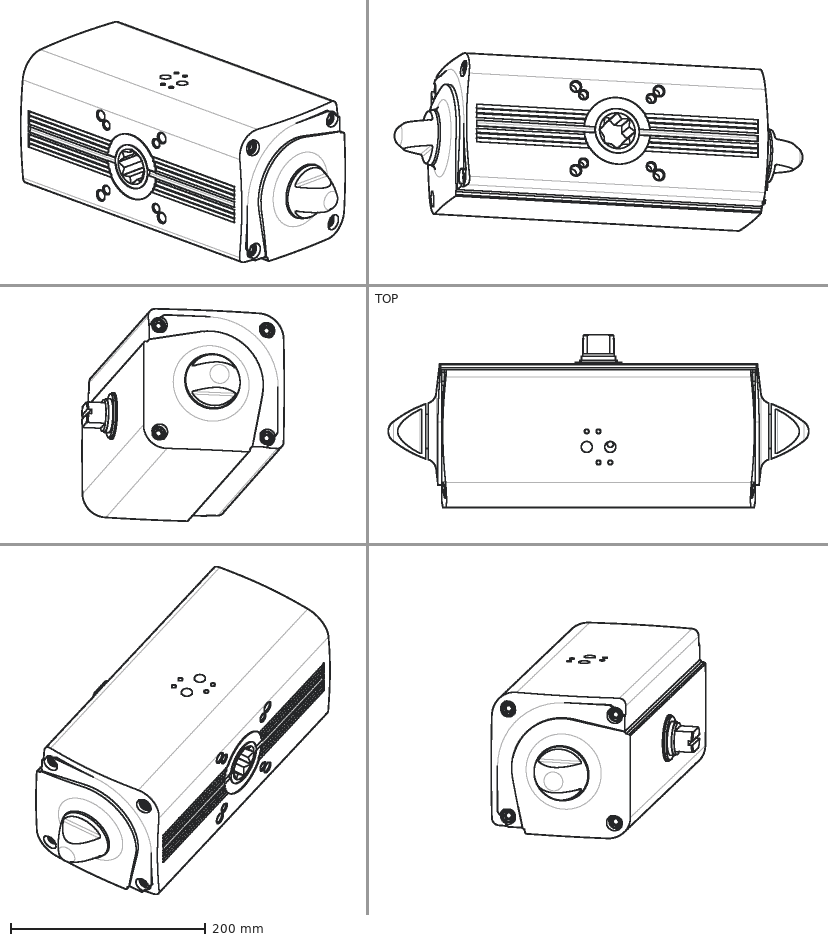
import cadquery as cq
import math

TOTAL_LENGTH = 433.0
SHAFT_TIP_Y = 99.5

FAR_SIDE = 78.5
NEAR_SIDE = 63.5
LOBE_SIDE = 69.5
BIG_CORNER_RADIUS = 26.0
SMALL_CORNER_RADIUS = 7.5
LOBE_CORNER_RADIUS = 24.2
LOBE_STEP_TOP = 44.5
LOBE_STEP_FOOT = (65.5, 42.5)
LOBE_STEP_CORNER = (68.5, 42.0)
LOBE_FACE_TOP = 40.5

CAP_FLAT_X = 161.5
CAP_FLAT_RADIUS = 71.5
CAP_SLOPE = 0.18
LOBE_CAP_X = 167.0
LOBE_CAP_RADIUS = 55.5
LOBE_CAP_SLOPE = 0.12
ENVELOPE_RADIUS = 130.0
PLATE_SHOULDER = 47.5
PLATE_EDGE = 60.0

DOME_RADIUS = 40.0
DOME_FILLET_MIDDLE = (169.7, 33.0)
DOME_TIP_X = 175.5
DOME_TIP_RADIUS = 29.0
NECK_RADIUS = 17.8
NOSE_BASE_X = 177.5
NOSE_BASE_RADIUS = 28.5
NOSE_MIDDLE = (195.0, 21.0)
NOSE_CAP_X = 211.5
NOSE_CAP_RADIUS = 10.0
NOSE_FLAT_X = 182.0
NOSE_FLAT_HALF = 13.5
NOSE_FLAT_FILLET = 2.0

SCREW_SPACING = 113.5
SCREW_OFFSET = 4.0
SCREW_BORE_DIAMETER = 16.0
SCREW_BORE_FLOOR_X = 153.3
SCREW_HEAD_DIAMETER = 14.0
SCREW_HEAD_HEIGHT = 4.8
SCREW_HEAD_CHAMFER = 1.5
SOCKET_DIAMETER = 8.2
SOCKET_DEPTH = 2.0
SOCKET_POINT_DIAMETER = 6.0
SOCKET_POINT_DEPTH = 1.7

GROOVE_END_X = 149.5
GROOVE_WIDTH = 4.1
GROOVE_HEIGHTS = (8.0, 13.0, 17.8)
CENTRE_SLOT_WIDTH = 6.0
CENTRE_SLOT_DEPTH = 3.5
CENTRE_SLOT_FILLET = 1.7

PILOT_DIAMETER = 70.0
PILOT_RECESS = 1.0
SHAFT_END_DIAMETER = 46.8
DRIVE_SQUARE = 27.0
DRIVE_DIAMETER = 37.5
DRIVE_DEPTH = 34.5
DRIVE_CHAMFER = 4.5

FLANGE_HOLES = ((36.0, 8.2, 10.5, 15.0), (44.0, 10.0, 12.0, 17.5))

PORT_CENTRE_Y = -16.0
PORT_HALF_SPACING = 12.0
PORT_DIAMETER = 11.3
PORT_DEPTH = 13.0
PASSAGE_DIAMETER = 6.0
PASSAGE_SHIFT_Y = 2.5
PASSAGE_DEPTH = 13.0
PORT_SCREW_HALF_SPACING_Y = 16.0
PORT_SCREW_DRILL = 4.1
PORT_SCREW_MOUTH = 4.8
PORT_SCREW_DEPTH = 8.5

THRUST_PLATE = (48.0, 71.0)
CLIP = (45.0, 73.0)
CLIP_WIDTH = 39.0
COLLAR = (35.0, 77.5)
STEM_BASE = (33.0, 80.0)
STEM_DIAMETER = 32.0
STEM_WIDTH = 21.5
STEM_CHAMFER = 1.5
TIP_SLOT_WIDTH = 4.5
TIP_SLOT_DEPTH = 4.5

DRILL_POINT_ANGLE = math.radians(59)


def reflect(point):
    """Mirror a (y, z) point across the symmetry line of the section."""
    y, z = point
    return (-z, -y)


def along_x(sketch_wire, half_length):
    """Extrude a closed section in the YZ plane equally to both sides."""
    return sketch_wire.extrude(half_length, both=True)


def drill(diameter, depth, mouth_diameter):
    """Drill-shaped tool down -Z from the origin, with a cone point and a chamfered mouth."""
    radius = diameter / 2
    mouth = mouth_diameter / 2
    point_depth = radius / math.tan(DRILL_POINT_ANGLE)
    profile = [
        (0, 0),
        (mouth, 0),
        (radius, radius - mouth),
        (radius, -depth),
        (0, -depth - point_depth),
    ]
    return cq.Workplane("XZ").polyline(profile).close().revolve(360, (0, 0, 0), (0, 1, 0))


def cap_envelope(flat_radius, flat_x, slope):
    """Round body with coned ends, used to shape the end faces of a section."""
    rim_x = flat_x - slope * (ENVELOPE_RADIUS - flat_radius)
    profile = [
        (-flat_x, 0),
        (-flat_x, flat_radius),
        (-rim_x, ENVELOPE_RADIUS),
        (rim_x, ENVELOPE_RADIUS),
        (flat_x, flat_radius),
        (flat_x, 0),
    ]
    return cq.Workplane("XY").polyline(profile).close().revolve(360, (0, 0, 0), (1, 0, 0))


def main_block():
    size = FAR_SIDE + NEAR_SIDE
    centre = (NEAR_SIDE - FAR_SIDE) / 2
    block = cq.Workplane("XY").box(2 * CAP_FLAT_X, size, size).translate((0, centre, -centre))
    block = block.edges("|X and <Y and >Z").fillet(BIG_CORNER_RADIUS)
    block = block.edges("|X and >Y and >Z").fillet(SMALL_CORNER_RADIUS)
    block = block.edges("|X and <Y and <Z").fillet(SMALL_CORNER_RADIUS)
    return block.edges("|X and >Y and <Z").fillet(LOBE_CORNER_RADIUS)


def lobe():
    """Raised lobe around the axis: an arc towards the front and top, run out by tangents."""
    step_start = (NEAR_SIDE, LOBE_STEP_TOP)
    step_distance = math.hypot(*step_start)
    step_angle = math.atan2(LOBE_STEP_TOP, NEAR_SIDE)
    tangent_angle = step_angle + math.acos(LOBE_CAP_RADIUS / step_distance)
    tangent = (LOBE_CAP_RADIUS * math.cos(tangent_angle), LOBE_CAP_RADIUS * math.sin(tangent_angle))
    arc_middle = (-LOBE_CAP_RADIUS * math.sqrt(0.5), LOBE_CAP_RADIUS * math.sqrt(0.5))
    face_top = (LOBE_SIDE, LOBE_FACE_TOP)
    section = (
        cq.Workplane("YZ")
        .moveTo(*tangent)
        .threePointArc(arc_middle, reflect(tangent))
        .lineTo(*reflect(step_start))
        .lineTo(*reflect(LOBE_STEP_FOOT))
        .lineTo(*reflect(LOBE_STEP_CORNER))
        .lineTo(*reflect(face_top))
        .lineTo(LOBE_SIDE, -LOBE_SIDE)
        .lineTo(*face_top)
        .lineTo(*LOBE_STEP_CORNER)
        .lineTo(*LOBE_STEP_FOOT)
        .lineTo(*step_start)
        .close()
    )
    solid = along_x(section, TOTAL_LENGTH / 2)
    solid = solid.edges("|X and >Y and <Z").fillet(LOBE_CORNER_RADIUS)
    return solid.intersect(cap_envelope(DOME_RADIUS, LOBE_CAP_X, LOBE_CAP_SLOPE))


def cap_plate():
    """Flat zone of the end caps, which runs on past the coned face to the upper and front screws."""
    top_start = (0, CAP_FLAT_RADIUS)
    shoulder = (PLATE_SHOULDER, CAP_FLAT_RADIUS)
    edge = (NEAR_SIDE, PLATE_EDGE)
    arc_middle = (-CAP_FLAT_RADIUS * math.sqrt(0.5), CAP_FLAT_RADIUS * math.sqrt(0.5))
    section = (
        cq.Workplane("YZ")
        .moveTo(*top_start)
        .threePointArc(arc_middle, reflect(top_start))
        .lineTo(*reflect(shoulder))
        .lineTo(*reflect(edge))
        .lineTo(0, -NEAR_SIDE)
        .lineTo(0, 0)
        .lineTo(NEAR_SIDE, 0)
        .lineTo(*edge)
        .lineTo(*shoulder)
        .close()
    )
    return along_x(section, CAP_FLAT_X)


def nose():
    """Dome, neck and flattened nose on the +X end."""
    tip = TOTAL_LENGTH / 2
    cap_sag = tip - NOSE_CAP_X
    cap_sphere = (NOSE_CAP_RADIUS ** 2 + cap_sag ** 2) / (2 * cap_sag)
    half_angle = math.asin(NOSE_CAP_RADIUS / cap_sphere) / 2
    cap_middle = (
        tip - cap_sphere * (1 - math.cos(half_angle)),
        cap_sphere * math.sin(half_angle),
    )
    solid = (
        cq.Workplane("XY")
        .moveTo(CAP_FLAT_X, 0)
        .lineTo(CAP_FLAT_X, DOME_RADIUS)
        .lineTo(LOBE_CAP_X, DOME_RADIUS)
        .threePointArc(DOME_FILLET_MIDDLE, (DOME_TIP_X, DOME_TIP_RADIUS))
        .lineTo(DOME_TIP_X, NECK_RADIUS)
        .lineTo(NOSE_BASE_X, NECK_RADIUS)
        .lineTo(NOSE_BASE_X, NOSE_BASE_RADIUS)
        .threePointArc(NOSE_MIDDLE, (NOSE_CAP_X, NOSE_CAP_RADIUS))
        .threePointArc(cap_middle, (tip, 0))
        .close()
        .revolve(360, (0, 0, 0), (1, 0, 0))
    )
    cutter_size = 2 * NOSE_BASE_RADIUS
    cutter = (
        cq.Workplane("XY")
        .box(cutter_size, cutter_size, cutter_size, centered=(False, True, False))
        .edges("<X and <Z")
        .fillet(NOSE_FLAT_FILLET)
        .translate((NOSE_FLAT_X, 0, NOSE_FLAT_HALF))
    )
    return solid.cut(cutter).cut(cutter.mirror("XY"))


def socket_screw():
    """Chamfered screw head seated at the origin, with a hexagon socket that ends in a cone."""
    head = cq.Workplane("YZ").circle(SCREW_HEAD_DIAMETER / 2).extrude(SCREW_HEAD_HEIGHT)
    head = head.faces(">X").chamfer(SCREW_HEAD_CHAMFER)
    socket_floor_x = SCREW_HEAD_HEIGHT - SOCKET_DEPTH
    floor = cq.Workplane("YZ", origin=(socket_floor_x, 0, 0))
    socket = floor.polygon(6, SOCKET_DIAMETER).extrude(SOCKET_DEPTH)
    point = cq.Solid.makeCone(
        SOCKET_POINT_DIAMETER / 2,
        0,
        SOCKET_POINT_DEPTH,
        cq.Vector(socket_floor_x, 0, 0),
        cq.Vector(-1, 0, 0),
    )
    return head.cut(socket).cut(cq.Workplane(point))


def cap_screws():
    """Bores of the +X cap screws, and the screws that sit in them."""
    bore_length = TOTAL_LENGTH / 2 - SCREW_BORE_FLOOR_X
    bore = cq.Workplane("YZ").circle(SCREW_BORE_DIAMETER / 2).extrude(bore_length)
    screw = socket_screw()
    sides = (-SCREW_SPACING / 2, SCREW_SPACING / 2)
    places = [
        (SCREW_BORE_FLOOR_X, dy - SCREW_OFFSET, dz + SCREW_OFFSET)
        for dy in sides
        for dz in sides
    ]
    bores = [bore.translate(place) for place in places]
    screws = [screw.translate(place) for place in places]
    return bores, screws


def housing():
    block = main_block().intersect(cap_envelope(CAP_FLAT_RADIUS, CAP_FLAT_X, CAP_SLOPE))
    solid = block.union(cap_plate()).union(lobe())
    end = nose()
    solid = solid.union(end).union(end.mirror("YZ"))
    bores, screws = cap_screws()
    for bore in bores:
        solid = solid.cut(bore).cut(bore.mirror("YZ"))
    for screw in screws:
        solid = solid.union(screw).union(screw.mirror("YZ"))
    return solid


def front_disc(diameter, depth):
    return cq.Workplane("XZ", origin=(0, -FAR_SIDE, 0)).circle(diameter / 2).extrude(-depth)


def front_grooves():
    """Round-bottomed grooves beside the flange and a centre slot that runs into it."""
    heights = [side * height for height in GROOVE_HEIGHTS for side in (-1, 1)]
    grooves = (
        cq.Workplane("YZ")
        .pushPoints([(-FAR_SIDE, height) for height in heights])
        .circle(GROOVE_WIDTH / 2)
        .extrude(GROOVE_END_X, both=True)
    ).cut(front_disc(PILOT_DIAMETER, GROOVE_WIDTH))
    centre_slot = (
        cq.Workplane("XY")
        .box(2 * GROOVE_END_X, 2 * CENTRE_SLOT_DEPTH, CENTRE_SLOT_WIDTH)
        .edges("|X and >Y")
        .fillet(CENTRE_SLOT_FILLET)
        .translate((0, -FAR_SIDE, 0))
    ).cut(front_disc(SHAFT_END_DIAMETER, CENTRE_SLOT_DEPTH))
    return grooves.union(centre_slot)


def pilot_recess():
    """Shallow ring around the shaft end."""
    return front_disc(PILOT_DIAMETER, PILOT_RECESS).cut(front_disc(SHAFT_END_DIAMETER, PILOT_RECESS))


def drive_socket():
    """Double-square socket in the shaft end, with a coned mouth."""
    face = cq.Workplane("XZ", origin=(0, -FAR_SIDE, 0))
    square = face.rect(DRIVE_SQUARE, DRIVE_SQUARE).extrude(-DRIVE_DEPTH)
    star = square.union(square.rotate((0, 0, 0), (0, 1, 0), 45))
    star = star.intersect(front_disc(DRIVE_DIAMETER, DRIVE_DEPTH))
    cone = (
        face.circle(DRIVE_DIAMETER / 2)
        .workplane(offset=-DRIVE_CHAMFER)
        .circle(DRIVE_SQUARE / 2)
        .loft()
    )
    return star.union(cone)


def flange_holes():
    tools = []
    for half_spacing, diameter, mouth, depth in FLANGE_HOLES:
        tool = drill(diameter, depth, mouth).rotate((0, 0, 0), (1, 0, 0), 90)
        for x in (-half_spacing, half_spacing):
            for z in (-half_spacing, half_spacing):
                tools.append(tool.translate((x, -FAR_SIDE, z)))
    return tools


def air_ports():
    top = cq.Workplane("XY", origin=(0, PORT_CENTRE_Y, FAR_SIDE))
    ports = top.rarray(2 * PORT_HALF_SPACING, 4.5, 2, 1).circle(PORT_DIAMETER / 2).extrude(-PORT_DEPTH)
    passage = (
        top.center(PORT_HALF_SPACING, PASSAGE_SHIFT_Y)
        .circle(PASSAGE_DIAMETER / 2)
        .extrude(-PORT_DEPTH - PASSAGE_DEPTH)
    )
    return ports.union(passage)


def port_screw_holes():
    tool = drill(PORT_SCREW_DRILL, PORT_SCREW_DEPTH, PORT_SCREW_MOUTH)
    places = (
        (-PORT_HALF_SPACING, PORT_SCREW_HALF_SPACING_Y),
        (0, PORT_SCREW_HALF_SPACING_Y),
        (0, -PORT_SCREW_HALF_SPACING_Y),
        (PORT_HALF_SPACING, -PORT_SCREW_HALF_SPACING_Y),
    )
    return [tool.translate((x, PORT_CENTRE_Y + y, FAR_SIDE)) for x, y in places]


def shaft_step(diameter, end_y):
    """Cylinder about the Y axis from inside the housing out to end_y."""
    base = cq.Workplane("XZ", origin=(0, NEAR_SIDE, 0))
    return base.circle(diameter / 2).extrude(NEAR_SIDE - end_y)


def drive_shaft():
    clip_trim = cq.Workplane("XY").box(CLIP_WIDTH, 2 * SHAFT_TIP_Y, CLIP[0])
    stem = shaft_step(STEM_DIAMETER, SHAFT_TIP_Y).faces(">Y").chamfer(STEM_CHAMFER)
    flats_y = STEM_BASE[1]
    flat_length = SHAFT_TIP_Y - flats_y
    for side in (-1, 1):
        flat = cq.Workplane("XY").box(STEM_DIAMETER, flat_length, STEM_DIAMETER)
        flat_z = side * (STEM_WIDTH + STEM_DIAMETER) / 2
        stem = stem.cut(flat.translate((0, flats_y + flat_length / 2, flat_z)))
    tip_slot = cq.Workplane("XY").box(STEM_DIAMETER, 2 * TIP_SLOT_DEPTH, TIP_SLOT_WIDTH)
    stem = stem.cut(tip_slot.translate((0, SHAFT_TIP_Y, 0)))
    return (
        shaft_step(*THRUST_PLATE)
        .union(shaft_step(*CLIP).intersect(clip_trim))
        .union(shaft_step(*COLLAR))
        .union(stem)
        .union(shaft_step(*STEM_BASE))
    )


result = housing().union(drive_shaft())
result = result.cut(front_grooves())
result = result.cut(pilot_recess())
result = result.cut(drive_socket())
result = result.cut(air_ports())
for hole in flange_holes() + port_screw_holes():
    result = result.cut(hole)